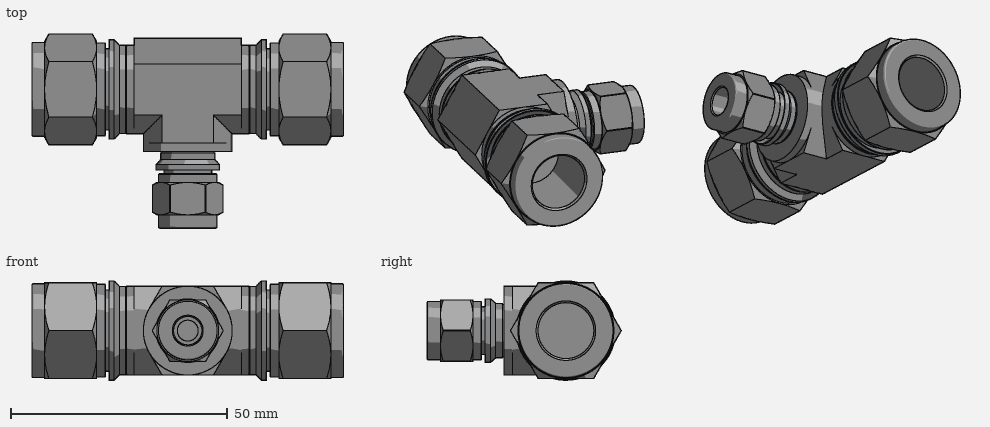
import cadquery as cq
import math


ARM_HEX_END = 12.4
BODY_FLATS = 20.6
NUT_CHAMFER_ANGLE = 30.0
COLLAR_CHAMFER = 0.2
RING_LIP_WIDTH = 0.2

RUN_END = {
    "length": 36.1,
    "shoulder_end": 14.15,
    "relief_diameter": 20.1,
    "relief_end": 14.4,
    "neck_diameter": 20.5,
    "neck_end": 15.8,
    "ring_diameter": 23.0,
    "ring_start": 17.05,
    "ring_end": 18.2,
    "groove_diameter": 18.9,
    "collar_start": 19.0,
    "collar_diameter": 21.5,
    "nut_flats": 22.25,
    "nut_corners": 25.7,
    "nut_start": 21.1,
    "nut_end": 33.15,
    "tip_diameter": 21.8,
    "tip_fillet": 0.4,
    "socket_diameter": 12.9,
    "mouth_chamfer": 0.4,
}
BRANCH_END = {
    "length": 32.1,
    "shoulder_end": 14.4,
    "relief_diameter": 12.2,
    "relief_end": 14.7,
    "neck_diameter": 12.6,
    "neck_end": 16.25,
    "ring_diameter": 14.7,
    "ring_start": 17.4,
    "ring_end": 18.7,
    "groove_diameter": 11.1,
    "collar_start": 19.5,
    "collar_diameter": 13.6,
    "nut_flats": 14.3,
    "nut_corners": 16.4,
    "nut_start": 21.5,
    "nut_end": 29.0,
    "tip_diameter": 13.6,
    "tip_fillet": 0.35,
    "socket_diameter": 6.6,
    "mouth_chamfer": 0.3,
}
BRANCH_BORE_DIAMETER = 4.85


def corner_radius(flats):
    """Centre-to-corner distance of a hexagon from its across-flats size."""
    return flats / 2 / math.cos(math.radians(30))


def revolve_about_z(points):
    """Revolve a closed outline of (radius, height) points about the Z axis."""
    return cq.Workplane("XZ").polyline(points).close().revolve(360, (0, 0, 0), (0, 1, 0))


def body_hexagon(plane, round_both):
    """Hexagon with corners on the local X axis; the +X corner, or both, blended to the inscribed circle."""
    radius = BODY_FLATS / 2
    corner = corner_radius(BODY_FLATS)
    tangent_x = radius * math.cos(math.radians(30))
    tangent_y = radius * math.sin(math.radians(30))
    outline = (
        cq.Workplane(plane)
        .moveTo(-corner / 2, -radius)
        .lineTo(corner / 2, -radius)
        .lineTo(tangent_x, -tangent_y)
        .threePointArc((radius, 0), (tangent_x, tangent_y))
        .lineTo(corner / 2, radius)
        .lineTo(-corner / 2, radius)
    )
    if round_both:
        outline = outline.lineTo(-tangent_x, tangent_y).threePointArc((-radius, 0), (-tangent_x, -tangent_y))
    else:
        outline = outline.lineTo(-corner, 0)
    return outline.close()


def tee_body():
    """Hexagonal run along X joined to the hexagonal branch along -Y."""
    run_plane = cq.Plane(origin=(-ARM_HEX_END, 0, 0), xDir=(0, -1, 0), normal=(1, 0, 0))
    branch_plane = cq.Plane(origin=(0, 0, 0), xDir=(1, 0, 0), normal=(0, -1, 0))
    run = body_hexagon(run_plane, False).extrude(2 * ARM_HEX_END)
    branch = body_hexagon(branch_plane, True).extrude(ARM_HEX_END)
    return run.union(branch)


def chamfered_nut(end):
    """Hexagonal nut along Z with corners on X, turned to its corner diameter and to a cone at both faces."""
    turned_radius = end["nut_corners"] / 2
    face_radius = end["nut_flats"] / 2
    drop = (turned_radius - face_radius) * math.tan(math.radians(NUT_CHAMFER_ANGLE))
    start = end["nut_start"]
    stop = end["nut_end"]
    hexagon = (
        cq.Workplane("XY").workplane(offset=start)
        .polygon(6, 2 * corner_radius(end["nut_flats"])).extrude(stop - start)
    )
    turned = revolve_about_z([
        (0, start),
        (face_radius, start),
        (turned_radius, start + drop),
        (turned_radius, stop - drop),
        (face_radius, stop),
        (0, stop),
    ])
    return hexagon.intersect(turned)


def turned_core(end):
    """Round parts of one end along Z: body shoulder, relief, neck, dished ring, groove, collar and tip."""
    shoulder = BODY_FLATS / 2
    relief = end["relief_diameter"] / 2
    neck = end["neck_diameter"] / 2
    ring = end["ring_diameter"] / 2
    lip = ring - RING_LIP_WIDTH
    groove = end["groove_diameter"] / 2
    dish_depth = lip - groove
    collar = end["collar_diameter"] / 2
    tip = end["tip_diameter"] / 2
    core = revolve_about_z([
        (0, ARM_HEX_END),
        (shoulder, ARM_HEX_END),
        (shoulder, end["shoulder_end"]),
        (relief, end["shoulder_end"]),
        (relief, end["relief_end"]),
        (neck, end["relief_end"]),
        (neck, end["neck_end"]),
        (ring, end["ring_start"]),
        (ring, end["ring_end"]),
        (lip, end["ring_end"]),
        (groove, end["ring_end"] - dish_depth),
        (groove, end["collar_start"]),
        (collar - COLLAR_CHAMFER, end["collar_start"]),
        (collar, end["collar_start"] + COLLAR_CHAMFER),
        (collar, end["nut_start"]),
        (tip, end["nut_end"]),
        (tip, end["length"]),
        (0, end["length"]),
    ])
    return core.faces(">Z").edges().fillet(end["tip_fillet"])


def tube_socket(end):
    """Cutter for the blind tube socket along Z, with a chamfered mouth and its floor level with the ring."""
    radius = end["socket_diameter"] / 2
    chamfer = end["mouth_chamfer"]
    return revolve_about_z([
        (0, end["ring_end"]),
        (radius, end["ring_end"]),
        (radius, end["length"] - chamfer),
        (radius + chamfer, end["length"]),
        (0, end["length"]),
    ])


def onto_run(solid, direction):
    """Turn a solid from +Z onto the X axis, with its nut corners at +Y and -Y."""
    return solid.rotate((0, 0, 0), (0, 0, 1), 90).rotate((0, 0, 0), (0, 1, 0), 90 * direction)


def onto_branch(solid):
    """Turn a solid from +Z onto -Y, with its nut corners at +X and -X."""
    return solid.rotate((0, 0, 0), (1, 0, 0), 90)


run_fitting = turned_core(RUN_END).union(chamfered_nut(RUN_END), clean=False)
run_socket = tube_socket(RUN_END)

branch_fitting = turned_core(BRANCH_END).union(chamfered_nut(BRANCH_END), clean=False)
branch_bore = (
    cq.Workplane("XY").workplane(offset=BRANCH_END["shoulder_end"])
    .circle(BRANCH_BORE_DIAMETER / 2)
    .extrude(BRANCH_END["ring_end"] - BRANCH_END["shoulder_end"])
)
branch_socket = tube_socket(BRANCH_END).union(branch_bore)

result = tee_body().union(onto_branch(branch_fitting), clean=False)
for direction in (1, -1):
    result = result.union(onto_run(run_fitting, direction), clean=False)
for direction in (1, -1):
    result = result.cut(onto_run(run_socket, direction), clean=False)
result = result.cut(onto_branch(branch_socket), clean=False)